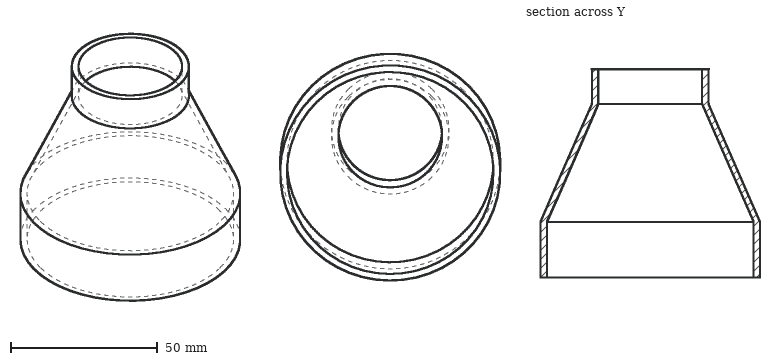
import cadquery as cq

base_diameter = 75.0
neck_diameter = 40.0
wall = 2.3
base_height = 19.0
cone_height = 40.05
neck_height = 12.0

base_radius = base_diameter / 2
neck_radius = neck_diameter / 2
cone_top = base_height + cone_height
total_height = cone_top + neck_height


def stepped_body(lower_radius, upper_radius):
    """Solid of revolution: cylinder, cone and smaller cylinder stacked along Z."""
    return (
        cq.Workplane("XZ")
        .polyline([
            (0, 0),
            (lower_radius, 0),
            (lower_radius, base_height),
            (upper_radius, cone_top),
            (upper_radius, total_height),
            (0, total_height),
        ])
        .close()
        .revolve(360, (0, 0, 0), (0, 1, 0))
    )


outside = stepped_body(base_radius, neck_radius)
bore = stepped_body(base_radius - wall, neck_radius - wall)
result = outside.cut(bore)